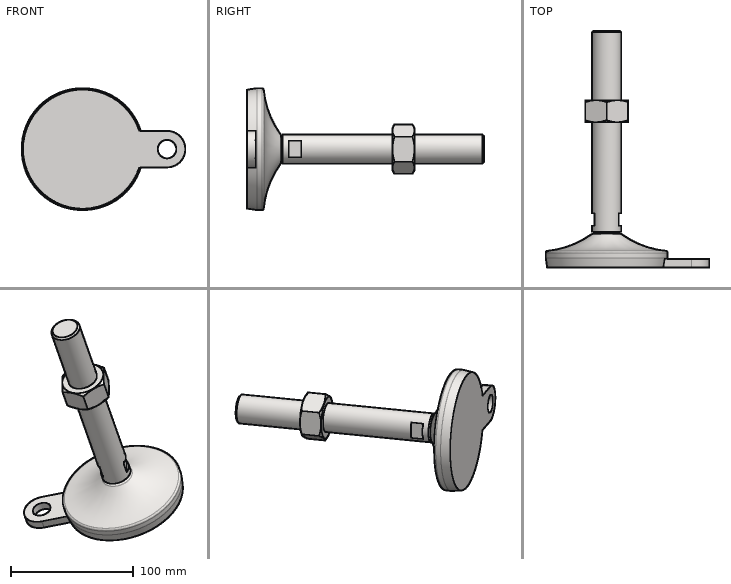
import cadquery as cq
import math

total_length = 194.0

foot_radius = 100.0 / 2
sole_radius = 48.7
taper_height = 8.0
rim_height = 13.8
rim_fillet = 1.7
slope_mid_radius = 24.0
slope_mid_height = 20.5
crown_radius = 11.5
crown_fillet = 4.8
foot_height = 28.1

lug_reach = 134.0 - foot_radius
lug_width = 30.0
lug_thickness = 7.2
lug_hole_diameter = 15.0

spindle_radius = 24.0 / 2
spindle_start = 29.3
spindle_chamfer = 1.5
neck_radius = 10.0 / 2
flat_start = 34.3
flat_length = 10.0
across_spindle_flats = 20.0

nut_start = 119.0
nut_thickness = 18.2
nut_across_flats = 35.1
nut_face_radius = 17.3
nut_chamfer_angle = 30.0


def cylinder_along_y(radius, start, length):
    return cq.Workplane("XZ", origin=(0, start, 0)).circle(radius).extrude(-length)


def revolve_about_y(profile):
    return profile.close().revolve(360, (0, 0, 0), (0, 1, 0))


def make_foot():
    profile = (
        cq.Workplane("XY")
        .lineTo(sole_radius, 0)
        .lineTo(foot_radius, taper_height)
        .lineTo(foot_radius, rim_height)
        .threePointArc((slope_mid_radius, slope_mid_height), (crown_radius, foot_height))
        .lineTo(0, foot_height)
    )
    foot = revolve_about_y(profile)
    foot = foot.faces(">Y").edges().fillet(crown_fillet)
    rim_center = (0, rim_height, 0)
    return foot.edges(cq.selectors.NearestToPointSelector(rim_center)).fillet(rim_fillet)


def make_lug():
    end_radius = lug_width / 2
    hole_x = lug_reach - end_radius
    bar = cq.Workplane("XY").box(hole_x, lug_thickness, lug_width, centered=(False, False, True))
    end = cylinder_along_y(end_radius, 0, lug_thickness).translate((hole_x, 0, 0))
    hole = cylinder_along_y(lug_hole_diameter / 2, 0, lug_thickness).translate((hole_x, 0, 0))
    return bar.union(end).cut(hole)


def make_spindle():
    spindle = cylinder_along_y(spindle_radius, spindle_start, total_length - spindle_start)
    spindle = spindle.faces(">Y").chamfer(spindle_chamfer)
    for side in (-1, 1):
        cutter = cq.Workplane("XY").box(
            spindle_radius, flat_length, 2 * spindle_radius, centered=(True, False, True)
        )
        cutter_x = side * (across_spindle_flats + spindle_radius) / 2
        spindle = spindle.cut(cutter.translate((cutter_x, flat_start, 0)))
    neck = cylinder_along_y(neck_radius, rim_height, flat_start - rim_height)
    return spindle.union(neck)


def make_nut():
    corner_radius = nut_across_flats / math.sqrt(3)
    nut_end = nut_start + nut_thickness
    chamfer_height = (corner_radius - nut_face_radius) * math.tan(math.radians(nut_chamfer_angle))
    prism = (
        cq.Workplane("XZ", origin=(0, nut_start, 0))
        .transformed(rotate=(0, 0, 90))
        .polygon(6, 2 * corner_radius)
        .extrude(-nut_thickness)
    )
    envelope = (
        cq.Workplane("XY")
        .moveTo(0, nut_start)
        .lineTo(nut_face_radius, nut_start)
        .lineTo(corner_radius, nut_start + chamfer_height)
        .lineTo(corner_radius, nut_end - chamfer_height)
        .lineTo(nut_face_radius, nut_end)
        .lineTo(0, nut_end)
    )
    return prism.intersect(revolve_about_y(envelope))


result = make_foot().union(make_lug()).union(make_spindle()).union(make_nut())